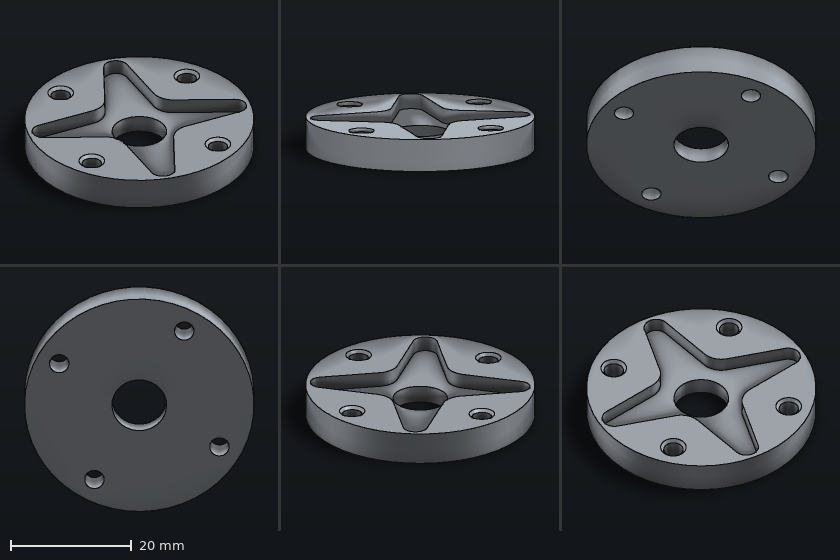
import cadquery as cq
import math

disc_diameter = 38.0
thickness = 5.45
bore_diameter = 9.0

screw_count = 4
screw_circle_radius = 15.2
screw_diameter = 3.2
countersink_diameter = 4.2
countersink_angle = 90.0

arm_count = 4
pocket_depth = 2.5
tip_center_radius = 16.2
tip_radius = 2.0
valley_radius = 7.25
valley_rounding = 3.65
arm_pitch = 360.0 / arm_count
first_arm_angle = arm_pitch / 2


def polar(radius, degrees):
    angle = math.radians(degrees)
    return (radius * math.cos(angle), radius * math.sin(angle))


def offset(point, distance, degrees):
    dx, dy = polar(distance, degrees)
    return (point[0] + dx, point[1] + dy)


def flank_normal_angle():
    """Angle between an arm's axis and the outward normal of its flank."""
    tip = polar(tip_center_radius, 0)
    valley = polar(valley_radius + valley_rounding, arm_pitch / 2)
    dx = valley[0] - tip[0]
    dy = valley[1] - tip[1]
    center_direction = math.degrees(math.atan2(dy, dx))
    tangent_turn = math.degrees(math.acos((tip_radius + valley_rounding) / math.hypot(dx, dy)))
    return center_direction - tangent_turn


def star_outline(workplane):
    normal = flank_normal_angle()
    start = offset(polar(tip_center_radius, first_arm_angle), tip_radius, first_arm_angle - normal)
    outline = workplane.moveTo(*start)
    for i in range(arm_count):
        arm = first_arm_angle + i * arm_pitch
        next_arm = arm + arm_pitch
        tip_center = polar(tip_center_radius, arm)
        valley_axis = arm + arm_pitch / 2
        valley_center = polar(valley_radius + valley_rounding, valley_axis)
        next_tip_center = polar(tip_center_radius, next_arm)
        outline = (
            outline
            .threePointArc(
                polar(tip_center_radius + tip_radius, arm),
                offset(tip_center, tip_radius, arm + normal),
            )
            .lineTo(*offset(valley_center, -valley_rounding, arm + normal))
            .threePointArc(
                polar(valley_radius, valley_axis),
                offset(valley_center, -valley_rounding, next_arm - normal),
            )
        )
        if i < arm_count - 1:
            outline = outline.lineTo(*offset(next_tip_center, tip_radius, next_arm - normal))
    return outline.close()


disc = cq.Workplane("XY").circle(disc_diameter / 2).extrude(thickness)

pocket = star_outline(cq.Workplane("XY").workplane(offset=thickness)).extrude(-pocket_depth)

bore = cq.Workplane("XY").circle(bore_diameter / 2).extrude(thickness)

result = (
    disc.cut(pocket)
    .cut(bore)
    .faces(">Z")
    .workplane(origin=(0, 0, thickness))
    .polarArray(screw_circle_radius, 0, 360, screw_count)
    .cskHole(screw_diameter, countersink_diameter, countersink_angle)
)